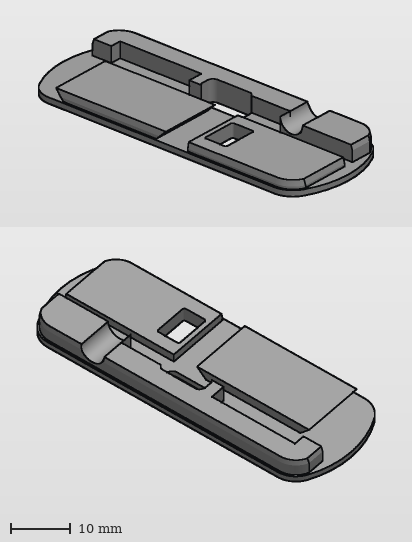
import cadquery as cq
import math

length = 62.4
width = 22.9
plate_thickness = 1.2
corner_radius = 4.8
end_radius = 19.0

edge_setback = 0.38
raised_half_length = 28.87
side_bevel_inset = 0.25
end_bevel_inset = 0.3

wall_top = 4.4
wall_bevel_height = 1.0
wall_inner_y = 3.8
wall_end_y = 4.65
left_notch_start_x = -24.75
left_notch_end_x = -6.9
left_notch_y = 6.9
right_notch_y = 6.35

channel_x = 15.5
channel_radius = 2.45
channel_left_x = channel_x - channel_radius

pad_inner_y = 1.8
left_pad_start_x = -23.65
left_pad_end_x = 0.45
left_pad_top = 3.1
left_pad_bevel_height = 1.2
left_pad_undercut = left_pad_top - plate_thickness
right_pad_start_x = 5.45
right_pad_top = 2.85
right_pad_bevel_height = 1.15

slot_length = 9.3
slot_width = 3.6
slot_y = 5.25
slot_corner_radius = 1.2
window_length = 4.75
window_width = 7.2
window_x = 8.85
window_y = -4.4
window_corner_radius = 0.4


end_center_x = length / 2 - end_radius
corner_center_y = width / 2 - corner_radius
corner_center_x = end_center_x + math.sqrt((end_radius - corner_radius) ** 2 - corner_center_y**2)


def make_plate():
    tangent_angle = math.atan2(corner_center_y, corner_center_x - end_center_x)
    middle_angle = (tangent_angle + math.pi / 2) / 2
    tangent_x = end_center_x + end_radius * math.cos(tangent_angle)
    tangent_y = end_radius * math.sin(tangent_angle)
    middle_x = corner_center_x + corner_radius * math.cos(middle_angle)
    middle_y = corner_center_y + corner_radius * math.sin(middle_angle)
    return (
        cq.Workplane("XY")
        .moveTo(-corner_center_x, width / 2)
        .lineTo(corner_center_x, width / 2)
        .threePointArc((middle_x, middle_y), (tangent_x, tangent_y))
        .threePointArc((length / 2, 0), (tangent_x, -tangent_y))
        .threePointArc((middle_x, -middle_y), (corner_center_x, -width / 2))
        .lineTo(-corner_center_x, -width / 2)
        .threePointArc((-middle_x, -middle_y), (-tangent_x, -tangent_y))
        .threePointArc((-length / 2, 0), (-tangent_x, tangent_y))
        .threePointArc((-middle_x, middle_y), (-corner_center_x, width / 2))
        .close()
        .extrude(plate_thickness)
    )


def beveled_blank(top, bevel_height):
    """Block with the outer shape of the raised features, beveled around its top edge.

    Its corner arcs share their centers with those of the plate, and flat ends cut across them.
    """
    corner_r = corner_radius - edge_setback
    rounded_length = 2 * (corner_center_x + corner_r)
    rounded_width = width - 2 * edge_setback
    rounded = cq.Workplane("XY").rect(rounded_length, rounded_width).extrude(top)
    rounded = rounded.edges("|Z").fillet(corner_r)
    rounded = rounded.faces(">Z").edges().chamfer(bevel_height, side_bevel_inset)
    ends = cq.Workplane("XY").rect(2 * raised_half_length, width).extrude(top)
    ends = ends.faces(">Z").edges("|Y").chamfer(bevel_height, end_bevel_inset)
    return rounded.intersect(ends)


def make_wall():
    footprint = (
        cq.Workplane("XY")
        .moveTo(-length / 2, width / 2)
        .lineTo(-length / 2, wall_end_y)
        .lineTo(left_notch_start_x, wall_end_y)
        .lineTo(left_notch_start_x, left_notch_y)
        .lineTo(left_notch_end_x, left_notch_y)
        .lineTo(left_notch_end_x, wall_inner_y)
        .lineTo(0, wall_inner_y)
        .lineTo(0, right_notch_y)
        .lineTo(channel_left_x, right_notch_y)
        .lineTo(channel_left_x, wall_inner_y)
        .lineTo(length / 2, wall_inner_y)
        .lineTo(length / 2, width / 2)
        .close()
        .extrude(wall_top)
    )
    channel = (
        cq.Workplane("XZ")
        .center(channel_x, wall_top)
        .circle(channel_radius)
        .extrude(width, both=True)
    )
    return beveled_blank(wall_top, wall_bevel_height).intersect(footprint).cut(channel)


def make_left_pad():
    """Pad whose two ends are undercut like a dovetail."""
    profile = (
        cq.Workplane("XZ", origin=(0, pad_inner_y, 0))
        .moveTo(left_pad_start_x, left_pad_top)
        .lineTo(left_pad_end_x, left_pad_top)
        .lineTo(left_pad_end_x - left_pad_undercut, plate_thickness)
        .lineTo(left_pad_start_x + left_pad_undercut, plate_thickness)
        .close()
        .extrude(width)
    )
    return beveled_blank(left_pad_top, left_pad_bevel_height).intersect(profile)


def make_right_pad():
    footprint = (
        cq.Workplane("XY")
        .moveTo(right_pad_start_x, pad_inner_y)
        .lineTo(length / 2, pad_inner_y)
        .lineTo(length / 2, -width / 2)
        .lineTo(right_pad_start_x, -width / 2)
        .close()
        .extrude(right_pad_top)
    )
    return beveled_blank(right_pad_top, right_pad_bevel_height).intersect(footprint)


def rounded_opening(x, y, size_x, size_y, radius):
    """Cutter for a rounded rectangular opening through the full height."""
    opening = cq.Workplane("XY").center(x, y).rect(size_x, size_y).extrude(wall_top)
    return opening.edges("|Z").fillet(radius)


body = make_plate().union(make_wall()).union(make_left_pad()).union(make_right_pad())
slot = rounded_opening(0, slot_y, slot_length, slot_width, slot_corner_radius)
window = rounded_opening(window_x, window_y, window_length, window_width, window_corner_radius)
result = body.cut(slot).cut(window)